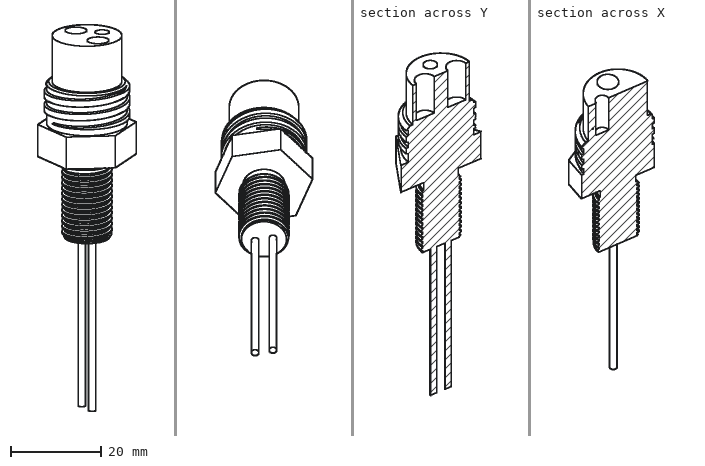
import cadquery as cq
import math

total_height = 87.0
rod_length = 40.0
stud_length = 19.0
hex_height = 7.5
collar_height = 9.75

stud_bottom = rod_length
hex_bottom = stud_bottom + stud_length
hex_top = hex_bottom + hex_height
collar_top = hex_top + collar_height

hex_across_flats = 19.0
hex_across_corners = hex_across_flats / math.cos(math.radians(30))
head_diameter = 15.5
neck_diameter = 9.5

inch = 25.4
collar_threads_per_inch = 8
stud_threads_per_inch = 20

collar_root_diameter = 17.9
collar_crest_diameter = 19.0
collar_pitch = inch / collar_threads_per_inch
collar_ridge_base = 0.6 * collar_pitch
collar_ridge_crest = 0.46 * collar_pitch
collar_thread_start = hex_top + 1.6
collar_chamfer_diameter = 17.0
collar_chamfer_rise_per_run = 1.0

stud_crest_diameter = inch * 7 / 16
stud_root_diameter = 10.0
stud_pitch = inch / stud_threads_per_inch
stud_ridge_base = 0.7 * stud_pitch
stud_ridge_crest = 0.25 * stud_pitch
stud_thread_length = 17.1
stud_thread_top = stud_bottom + stud_thread_length
stud_chamfer_rise_per_run = 1.5

socket_depth = 10.0
power_socket_diameter = 4.8
power_socket_offset = 4.3
guide_socket_diameter = 3.2
guide_socket_offset = 4.1
rod_diameter = 1.7
rod_offset = 2.0
rod_embed = 1.0

ridge_overlap = 0.1

trim_margin = 1.0

collar_overrun_turns = 0.5
stud_overrun_turns = 1


def cylinder(diameter, bottom, top, x=0.0, y=0.0):
    return cq.Workplane("XY", origin=(x, y, bottom)).circle(diameter / 2).extrude(top - bottom)


def thread_ridge(root_diameter, crest_diameter, pitch, base, crest, bottom, turns):
    """Right-hand helical ridge; its middle starts at the -Y side at height bottom."""
    root_radius = root_diameter / 2
    crest_radius = crest_diameter / 2
    flank_run_per_depth = (base - crest) / (crest_radius - root_radius) / 2
    sunk_radius = root_radius - ridge_overlap
    sunk_half_width = base / 2 + ridge_overlap * flank_run_per_depth
    path = cq.Workplane(cq.Wire.makeHelix(pitch, turns * pitch, root_radius))
    profile = (
        cq.Workplane("XZ")
        .moveTo(sunk_radius, -sunk_half_width)
        .lineTo(crest_radius, -crest / 2)
        .lineTo(crest_radius, crest / 2)
        .lineTo(sunk_radius, sunk_half_width)
        .close()
    )
    ridge = profile.sweep(path, isFrenet=True)
    return ridge.rotate((0, 0, 0), (0, 0, 1), -90).translate((0, 0, bottom))


def chamfered_cylinder(diameter, bottom, top, end_faces, end_diameter, rise_per_run):
    """Cylinder whose chosen end faces are chamfered down to the given end diameter."""
    run = (diameter - end_diameter) / 2
    return cylinder(diameter, bottom, top).faces(end_faces).chamfer(run * rise_per_run, run)


def threaded_collar():
    ridge_bottom = collar_thread_start - collar_pitch / 4
    turns = math.ceil((collar_top - ridge_bottom) / collar_pitch) + collar_overrun_turns
    ridge = thread_ridge(
        collar_root_diameter, collar_crest_diameter, collar_pitch,
        collar_ridge_base, collar_ridge_crest, ridge_bottom, turns,
    )
    trim = chamfered_cylinder(
        collar_crest_diameter + trim_margin, collar_thread_start, collar_top,
        ">Z", collar_chamfer_diameter, collar_chamfer_rise_per_run,
    )
    core = chamfered_cylinder(
        collar_root_diameter, hex_top, collar_top,
        ">Z", collar_chamfer_diameter, collar_chamfer_rise_per_run,
    )
    return core.union(ridge.intersect(trim))


def threaded_stud():
    ridge_bottom = stud_bottom - stud_overrun_turns * stud_pitch
    turns = math.ceil(stud_thread_length / stud_pitch) + 2 * stud_overrun_turns
    ridge = thread_ridge(
        stud_root_diameter, stud_crest_diameter, stud_pitch,
        stud_ridge_base, stud_ridge_crest, ridge_bottom, turns,
    )
    trim = chamfered_cylinder(
        stud_crest_diameter + trim_margin, stud_bottom, stud_thread_top,
        "<Z or >Z", stud_root_diameter, stud_chamfer_rise_per_run,
    )
    core = cylinder(stud_root_diameter, stud_bottom, stud_thread_top)
    neck = cylinder(neck_diameter, stud_thread_top, hex_bottom)
    return core.union(ridge.intersect(trim)).union(neck)


def hexagon():
    return (
        cq.Workplane("XY", origin=(0, 0, hex_bottom))
        .polygon(6, hex_across_corners)
        .extrude(hex_height)
    )


def socketed_head():
    head = cylinder(head_diameter, collar_top, total_height)
    socket_bottom = total_height - socket_depth
    for side in (-1, 1):
        socket = cylinder(power_socket_diameter, socket_bottom, total_height, x=side * power_socket_offset)
        head = head.cut(socket)
    return head.cut(cylinder(guide_socket_diameter, socket_bottom, total_height, y=guide_socket_offset))


def rod(x):
    return cylinder(rod_diameter, 0, rod_length + rod_embed, x=x)


result = hexagon().union(threaded_collar()).union(threaded_stud()).union(socketed_head())
for rod_x in (-rod_offset, rod_offset):
    result = result.union(rod(rod_x))